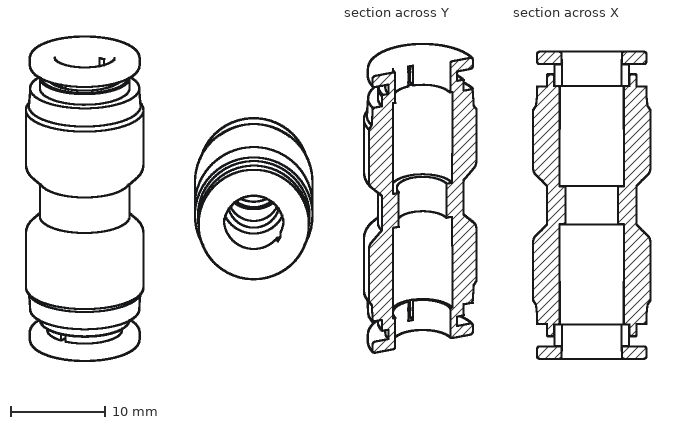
import cadquery as cq
import math

length = 32.6
half_length = length / 2

flange_radius = 5.85
flange_height = 1.37
flange_fillet = 0.33
neck_radius = 3.98
collet_bore_radius = 3.15
collet_mouth_fillet = 0.3
collet_depth = 3.65
slot_width = 0.55

collar_radius = 4.75
collar_start = 2.4
collar_chamfer = 0.1

shoulder_start = 3.72
shoulder_end = 5.75
shoulder_small_radius = 5.8
shoulder_large_radius = 5.93
body_diameter = 12.5
body_radius = body_diameter / 2
body_start = 6.2

waist_radius = collar_radius
waist_start = 14.28
cone_start = waist_start - (body_radius - waist_radius)
cone_fillet = 0.98

socket_radius = 3.4
socket_depth = waist_start
through_diameter = 5.5
through_radius = through_diameter / 2


def height(distance):
    """Z of a point at the given distance below the upper end face."""
    return half_length - distance


def flange_profile():
    """Half section of the collet flange, rounded at both outer edges."""
    arc_offset = flange_fillet * (1 - math.sqrt(0.5))
    flat_radius = flange_radius - flange_fillet
    return (
        cq.Workplane("XZ")
        .moveTo(0, height(0))
        .lineTo(flat_radius, height(0))
        .threePointArc(
            (flange_radius - arc_offset, height(arc_offset)),
            (flange_radius, height(flange_fillet)),
        )
        .lineTo(flange_radius, height(flange_height - flange_fillet))
        .threePointArc(
            (flange_radius - arc_offset, height(flange_height - arc_offset)),
            (flat_radius, height(flange_height)),
        )
        .lineTo(0, height(flange_height))
        .close()
    )


def body_profile():
    """Half section of the neck, collar, shoulder, body, cone and half the waist."""
    turn = math.radians(45)
    tangent_length = cone_fillet * math.tan(turn / 2)
    fillet_start = cone_start - tangent_length
    fillet_center_radius = body_radius - cone_fillet

    def on_fillet(angle):
        return (
            fillet_center_radius + cone_fillet * math.cos(angle),
            height(fillet_start + cone_fillet * math.sin(angle)),
        )

    return (
        cq.Workplane("XZ")
        .moveTo(0, height(flange_height))
        .lineTo(neck_radius, height(flange_height))
        .lineTo(neck_radius, height(collar_start))
        .lineTo(collar_radius - collar_chamfer, height(collar_start))
        .lineTo(collar_radius, height(collar_start + collar_chamfer))
        .lineTo(collar_radius, height(shoulder_start))
        .lineTo(shoulder_small_radius, height(shoulder_start))
        .lineTo(shoulder_large_radius, height(shoulder_end))
        .lineTo(body_radius, height(body_start))
        .lineTo(body_radius, height(fillet_start))
        .threePointArc(on_fillet(turn / 2), on_fillet(turn))
        .lineTo(waist_radius, height(waist_start))
        .lineTo(waist_radius, 0)
        .lineTo(0, 0)
        .close()
    )


def bore_profile():
    """Half section of the rounded mouth, collet bore, socket and half the through bore."""
    arc_offset = collet_mouth_fillet * (1 - math.sqrt(0.5))
    return (
        cq.Workplane("XZ")
        .moveTo(0, height(0))
        .lineTo(collet_bore_radius + collet_mouth_fillet, height(0))
        .threePointArc(
            (collet_bore_radius + arc_offset, height(arc_offset)),
            (collet_bore_radius, height(collet_mouth_fillet)),
        )
        .lineTo(collet_bore_radius, height(collet_depth))
        .lineTo(socket_radius, height(collet_depth))
        .lineTo(socket_radius, height(socket_depth))
        .lineTo(through_radius, height(socket_depth))
        .lineTo(through_radius, 0)
        .lineTo(0, 0)
        .close()
    )


def revolved(profile):
    """Turn a half section around the Z axis."""
    return profile.revolve(360, (0, 0, 0), (0, 1, 0))


def collet_slot():
    """Slot along Y that splits the collet from its flange to its inner end."""
    slot_height = collet_depth - flange_height
    slab = cq.Workplane("XY", origin=(0, 0, height(collet_depth))).box(
        slot_width, 2 * collar_radius, slot_height, centered=(True, True, False)
    )
    neck = cq.Workplane("XY", origin=(0, 0, height(collet_depth))).circle(neck_radius).extrude(slot_height)
    return slab.intersect(neck)


upper_half = (
    revolved(flange_profile())
    .union(revolved(body_profile()))
    .cut(revolved(bore_profile()))
    .cut(collet_slot())
)
result = upper_half.union(upper_half.rotate((0, 0, 0), (1, 0, 0), 180)).clean()